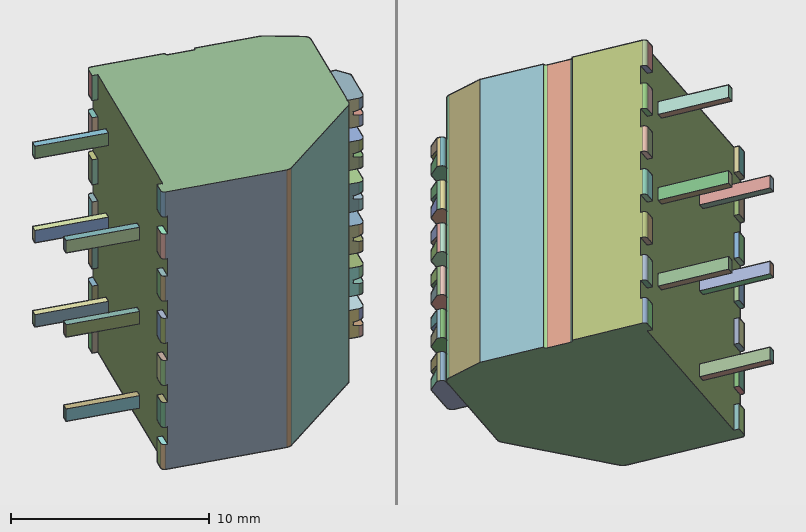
import cadquery as cq


width = 12.0
height = 16.74
length = 16.7

pole_count = 6
pad_height = 1.5
pole_pitch = (height - pad_height) / pole_count

pin_length = 3.9
pad_depth = 0.3
latch_height = 1.6
front_y = pin_length
pad_y = front_y - pad_depth
back_y = length - latch_height
side_slope_width = 0.8
side_slope_length = 2.3
wide_bevel = 4.72
outline_radius = 0.4

pad_width = 0.79
pad_radius = 0.2

groove_depth = 0.15
groove_start_y = 7.7
groove_end_y = 9.29

pin_width = 0.4
pin_height = 0.75
first_pin_x = 2.31
pin_column_spacing = 5.0
first_pin_z = 1.24

latch_left = 2.5
latch_right = 4.8
lip_overhang = 0.49
lip_clearance = 0.6
lip_bevel = 0.6
lip_radius = 0.2
latch_corner_radius = 0.3
latch_thickness = 1.7
first_latch_z = 1.7
notch_mouth = 0.45
notch_floor = 0.18
notch_depth = lip_bevel


def make_housing():
    """Prism with two bevelled back corners, rounded along the back face and at the right-hand side."""
    outline = [
        (0, front_y),
        (width, front_y),
        (width, back_y - wide_bevel),
        (width - wide_bevel, back_y),
        (side_slope_width, back_y),
        (0, back_y - side_slope_length),
    ]
    prism = cq.Workplane("XY").polyline(outline).close().extrude(height)
    back_edges = prism.faces(">Y").edges("|Z")
    bevel_end = prism.faces(">X").edges("|Z and >Y")
    return prism.newObject(back_edges.vals() + bevel_end.vals()).fillet(outline_radius)


def make_groove():
    """Full-height cutter whose floor meets the side walls in quarter rounds."""
    block = (
        cq.Workplane("XY")
        .rect(2 * groove_depth, groove_end_y - groove_start_y)
        .extrude(height)
        .translate((0, (groove_start_y + groove_end_y) / 2, 0))
    )
    return block.edges("|Z and >X").fillet(groove_depth)


def make_pad(left_x, outer_side, bottom_z):
    """Standoff pad rounded along its outer front edge; outer_side is '<X' or '>X'."""
    pad = cq.Workplane("XY").box(pad_width, pad_depth, pad_height, centered=False)
    pad = pad.faces("<Y").edges("|Z and " + outer_side).fillet(pad_radius)
    return pad.translate((left_x, pad_y, bottom_z))


def make_pin(center_x, center_z):
    """Straight rectangular pin from the front face to the pin tip."""
    return (
        cq.Workplane("XY")
        .box(pin_width, pin_length, pin_height)
        .translate((center_x, pin_length / 2, center_z))
    )


def make_latch(center_z):
    """Hooked latch with a tapered notch running through its back end."""
    lip_left = latch_left - lip_overhang
    lip_y = back_y + lip_clearance
    notch_y = length - notch_depth
    outline = [
        (latch_left, back_y),
        (latch_right, back_y),
        (latch_right, length),
        (lip_left + lip_bevel, length),
        (lip_left, length - lip_bevel),
        (lip_left, lip_y),
        (latch_left, lip_y),
    ]
    hook = cq.Workplane("XY").polyline(outline).close().extrude(latch_thickness)
    hook = hook.edges("|Z and <X").edges("<Y").fillet(lip_radius)
    hook = hook.faces(">X").edges("|Z and >Y").fillet(latch_corner_radius)

    notch_outline = [
        (length, -notch_mouth / 2),
        (length, notch_mouth / 2),
        (notch_y, notch_floor / 2),
        (notch_y, -notch_floor / 2),
    ]
    notch = cq.Workplane("YZ").polyline(notch_outline).close().extrude(width)
    hook = hook.translate((0, 0, -latch_thickness / 2)).cut(notch)
    return hook.translate((0, 0, center_z))


result = make_housing().cut(make_groove())

for pad_index in range(pole_count + 1):
    pad_z = pad_index * pole_pitch
    result = result.union(make_pad(0, "<X", pad_z))
    result = result.union(make_pad(width - pad_width, ">X", pad_z))

for pole in range(pole_count):
    column = (pole + 1) % 2
    pin_x = first_pin_x + column * pin_column_spacing
    result = result.union(make_pin(pin_x, first_pin_z + pole * pole_pitch))
    result = result.union(make_latch(first_latch_z + pole * pole_pitch))